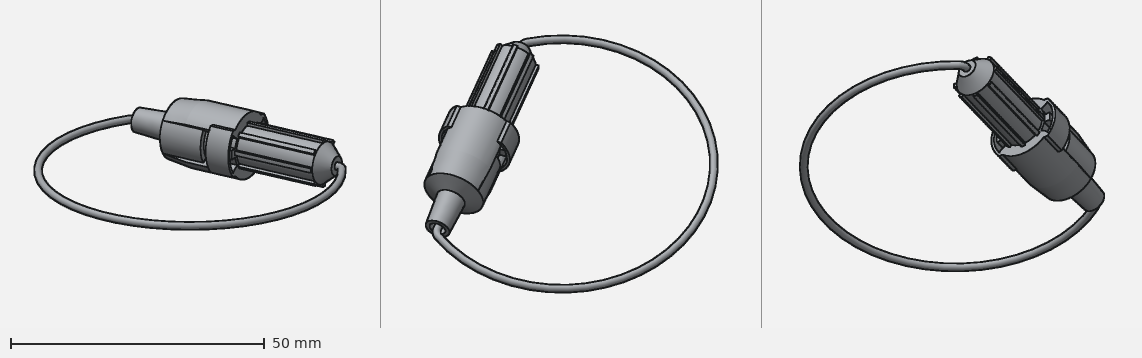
import cadquery as cq
import math

wire_radius = 0.8
loop_outer_radius = 30.75
loop_radius = loop_outer_radius - wire_radius
loop_drop = 17.45
bend_radius = 1.85

housing_end = 23.2
cone_start_x = -15.7
shoulder_x = -14.15
sleeve_x = -8.6
window_x = -4.7
strap_start_x = -2.65
cap_end_x = 2.6
grip_end_x = 20.25

stem_tip_radius = 2.5
stem_base_radius = 2.95
shoulder_radius = 6.2
sleeve_radius = 6.9
strap_radius = 7.5
grip_radius = 5.0
grip_core_radius = 4.35
nose_tip_radius = 1.95

rib_count = 8
rib_width = 0.9
slot_half_angle = math.radians(45)
window_half_angle = math.radians(34)
strap_half_height = 4.9
lug_start_x = -1.6
lug_width = 1.95
socket_radius = 1.65
socket_depth = 2.45


def cylinder_along_x(start_x, end_x, radius):
    """Solid cylinder on the X axis."""
    return cq.Workplane("YZ").workplane(offset=start_x).circle(radius).extrude(end_x - start_x)


def tube_along_x(start_x, end_x, inner_radius, outer_radius):
    """Hollow cylinder on the X axis."""
    outer = cylinder_along_x(start_x, end_x, outer_radius)
    return outer.cut(cylinder_along_x(start_x, end_x, inner_radius))


def turned_core():
    """Stem, steep cone, sleeve, grip core and nose, turned about the X axis."""
    profile = [
        (-housing_end, 0),
        (-housing_end, stem_tip_radius),
        (cone_start_x, stem_base_radius),
        (shoulder_x, shoulder_radius),
        (sleeve_x, sleeve_radius),
        (cap_end_x, sleeve_radius),
        (cap_end_x, grip_core_radius),
        (grip_end_x, grip_core_radius),
        (housing_end, nose_tip_radius),
        (housing_end, 0),
    ]
    return cq.Workplane("XY").polyline(profile).close().revolve(360, (0, 0, 0), (1, 0, 0))


def grip_ribs():
    """Straight ribs around the grip, trimmed to a round outside."""
    length = grip_end_x - cap_end_x
    bars = cq.Workplane("XY")
    for index in range(rib_count // 2):
        bar = (
            cq.Workplane("YZ")
            .workplane(offset=cap_end_x)
            .rect(2 * sleeve_radius, rib_width)
            .extrude(length)
            .rotate((0, 0, 0), (1, 0, 0), index * 360 / rib_count)
        )
        bars = bars.add(bar)
    return bars.combine().intersect(cylinder_along_x(cap_end_x, grip_end_x, grip_radius))


def side_wedges(start_x, apex_y, half_angle, floor_radius, rim_radius):
    """Cutter for a pair of wedge-shaped slots on the +Y and -Y sides, between two radii."""
    reach = 2 * sleeve_radius
    half_width = reach * math.tan(half_angle)
    wedges = cq.Workplane("YZ").workplane(offset=start_x)
    for side in (1, -1):
        corner_y = side * (apex_y + reach)
        outline = [(side * apex_y, 0), (corner_y, half_width), (corner_y, -half_width)]
        wedges = wedges.polyline(outline).close()
    wedges = wedges.extrude(cap_end_x - start_x)
    return wedges.intersect(tube_along_x(start_x, cap_end_x, floor_radius, rim_radius))


def shallow_slots():
    """Slots through the sleeve wall; their sides meet the window's edges at the floor."""
    floor_y = shoulder_radius * math.cos(window_half_angle)
    floor_z = shoulder_radius * math.sin(window_half_angle)
    apex_y = floor_y - floor_z / math.tan(slot_half_angle)
    return side_wedges(shoulder_x, apex_y, slot_half_angle, shoulder_radius, 2 * sleeve_radius)


def deep_windows():
    """Deeper stretch of the slots near the sleeve's open end, with radial sides."""
    return side_wedges(window_x, 0, window_half_angle, grip_radius, shoulder_radius)


def side_straps():
    """Pair of curved straps that bridge the slots at the sleeve's open end."""
    ring = tube_along_x(strap_start_x, cap_end_x, sleeve_radius, strap_radius)
    band = cq.Workplane("XY").box(2 * housing_end, 2 * strap_radius, 2 * strap_half_height)
    return ring.intersect(band)


def locking_lugs():
    """Flat-sided lugs that fill the middle of the windows below the straps."""
    length = cap_end_x - lug_start_x
    bar = (
        cq.Workplane("YZ")
        .workplane(offset=lug_start_x)
        .rect(2 * sleeve_radius, lug_width)
        .extrude(length)
    )
    return bar.intersect(cylinder_along_x(lug_start_x, cap_end_x, shoulder_radius))


def build_housing():
    body = turned_core().union(grip_ribs())
    body = body.cut(shallow_slots()).cut(deep_windows())
    body = body.union(side_straps()).union(locking_lugs())
    return body.cut(cylinder_along_x(-housing_end, socket_depth - housing_end, socket_radius))


def build_wire():
    """Round wire from the socket floor, around the loop, to the nose of the housing."""
    bend_x = math.sqrt((loop_radius - bend_radius) ** 2 - (loop_drop - bend_radius) ** 2)
    joint_angle = math.atan2(loop_drop - bend_radius, bend_x)
    joint_x = loop_radius * math.cos(joint_angle)
    joint_y = loop_radius * math.sin(joint_angle) - loop_drop
    half_angle = (math.pi / 2 + joint_angle) / 2
    half_x = bend_x + bend_radius * math.cos(half_angle)
    half_y = bend_radius * (math.sin(half_angle) - 1)

    start_x = socket_depth - housing_end
    path = (
        cq.Workplane("XY")
        .moveTo(start_x, 0)
        .lineTo(-bend_x, 0)
        .threePointArc((-half_x, half_y), (-joint_x, joint_y))
        .threePointArc((0, -loop_drop - loop_radius), (joint_x, joint_y))
        .threePointArc((half_x, half_y), (bend_x, 0))
        .lineTo(housing_end, 0)
    )
    return cq.Workplane("YZ").workplane(offset=start_x).circle(wire_radius).sweep(path)


housing = build_housing()
wire = build_wire()
result = cq.Compound.makeCompound([housing.val(), wire.val()])